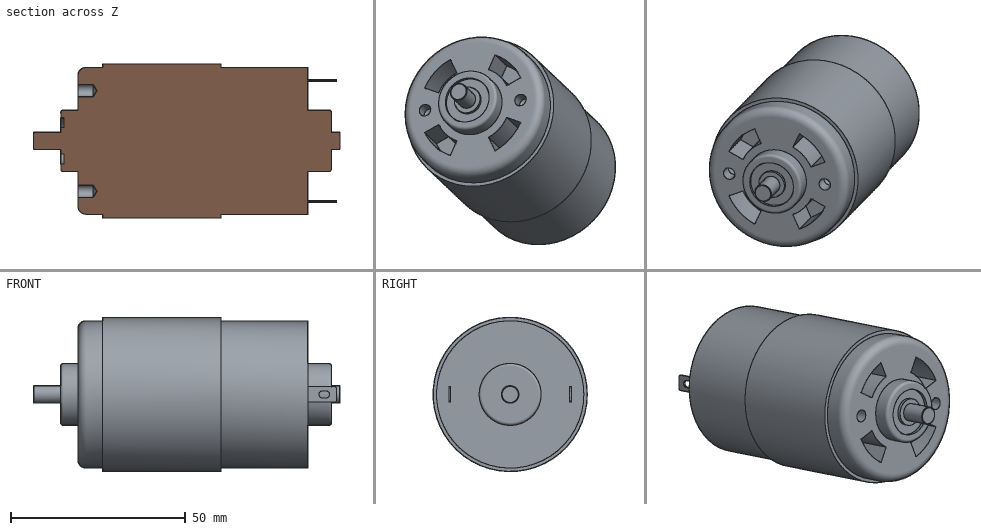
import cadquery as cq
import math

overall_length = 88.0

front_boss_x = 7.8
can_front_x = 12.8
sleeve_front_x = 19.9
sleeve_rear_x = 53.9
can_rear_x = 78.8
rear_boss_x = 85.5
terminal_tip_x = 86.9

shaft_diameter = 5.0
shaft_chamfer = 0.2
boss_diameter = 17.8
boss_fillet = 0.8
can_diameter = 42.2
can_fillet = 2.4
sleeve_diameter = 44.3

groove_inner_diameter = 7.7
groove_outer_diameter = 13.2
groove_depth = 1.0

vent_inner_radius = 11.35
vent_outer_radius = 16.0
vent_span = 40.0
vent_depth = 10.6
vent_angles = (45, 135, 225, 315)

mount_hole_diameter = 3.4
mount_hole_depth = 4.4
mount_hole_offset = 14.4
drill_point_angle = 118.0

terminal_offset = 17.3
terminal_thickness = 0.5
terminal_width = 4.5
terminal_chamfer = 0.35
eyelet_x = 83.4
eyelet_length = 3.1
eyelet_width = 2.0


def cylinder(start_x, end_x, diameter):
    """Solid cylinder on the X axis between two stations."""
    return cq.Workplane("YZ", origin=(start_x, 0, 0)).circle(diameter / 2).extrude(end_x - start_x)


def make_body():
    """Can, sleeve, bosses and shaft joined into one turned body."""
    can = cylinder(can_front_x, can_rear_x, can_diameter).faces("<X").edges().fillet(can_fillet)
    sleeve = cylinder(sleeve_front_x, sleeve_rear_x, sleeve_diameter)
    bosses = cylinder(front_boss_x, rear_boss_x, boss_diameter).edges().fillet(boss_fillet)
    shaft = cylinder(0, overall_length, shaft_diameter).edges().chamfer(shaft_chamfer)
    return can.union(sleeve).union(bosses).union(shaft)


def make_groove():
    """Ring-shaped cutter for the front boss face."""
    groove_floor_x = front_boss_x + groove_depth
    outer = cylinder(front_boss_x, groove_floor_x, groove_outer_diameter)
    return outer.cut(cylinder(front_boss_x, groove_floor_x, groove_inner_diameter))


def make_vent(angle):
    """Ring-sector cutter centred on the given angle in the YZ plane."""

    def point(radius, offset):
        direction = math.radians(angle + offset)
        return radius * math.cos(direction), radius * math.sin(direction)

    half_span = vent_span / 2
    return (
        cq.Workplane("YZ", origin=(can_front_x, 0, 0))
        .moveTo(*point(vent_inner_radius, -half_span))
        .lineTo(*point(vent_outer_radius, -half_span))
        .threePointArc(point(vent_outer_radius, 0), point(vent_outer_radius, half_span))
        .lineTo(*point(vent_inner_radius, half_span))
        .threePointArc(point(vent_inner_radius, 0), point(vent_inner_radius, -half_span))
        .close()
        .extrude(vent_depth)
    )


def make_mount_hole(y):
    """Drill-shaped cutter parallel to the X axis at the given Y."""
    radius = mount_hole_diameter / 2
    point_length = radius / math.tan(math.radians(drill_point_angle / 2))
    wall_end_x = can_front_x + mount_hole_depth
    return (
        cq.Workplane("XY")
        .moveTo(can_front_x, 0)
        .lineTo(can_front_x, radius)
        .lineTo(wall_end_x, radius)
        .lineTo(wall_end_x + point_length, 0)
        .close()
        .revolve(360, (0, 0, 0), (1, 0, 0))
        .translate((0, y, 0))
    )


def make_terminal(y):
    """Flat tab with clipped tip corners and an oblong eyelet, centred on the given Y."""
    length = terminal_tip_x - can_rear_x
    tab = (
        cq.Workplane("XY")
        .box(length, terminal_thickness, terminal_width)
        .translate((can_rear_x + length / 2, y, 0))
        .edges("|Y and >X")
        .chamfer(terminal_chamfer)
    )
    eyelet = (
        cq.Workplane("XZ", origin=(eyelet_x, y, 0))
        .slot2D(eyelet_length, eyelet_width)
        .extrude(terminal_thickness, both=True)
    )
    return tab.cut(eyelet)


result = make_body().cut(make_groove())

for vent_angle in vent_angles:
    result = result.cut(make_vent(vent_angle))

for side in (-1, 1):
    result = result.cut(make_mount_hole(side * mount_hole_offset))
    result = result.union(make_terminal(side * terminal_offset))